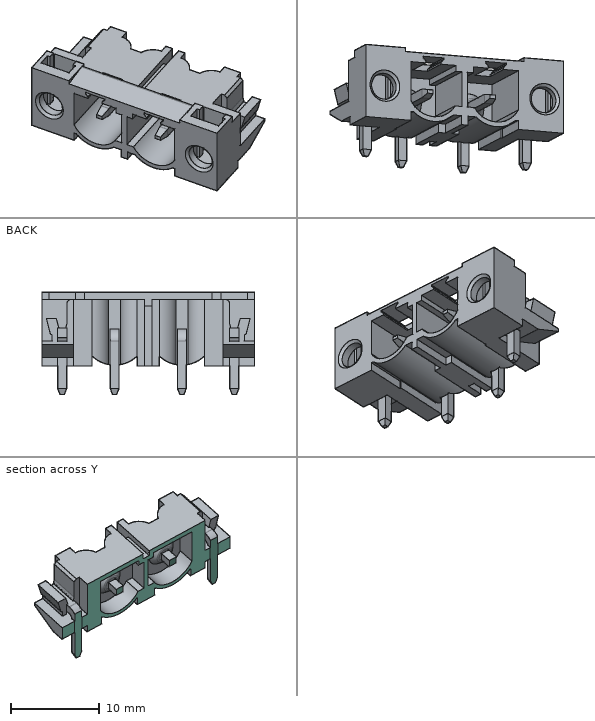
import cadquery as cq
import math


HALF_WIDTH = 12.05
DEPTH = 11.75
HEIGHT = 8.36
DECK_HEIGHT = 7.55
RAISED_DEPTH = 3.52
BLOCK_DEPTH = 5.37
BLOCK_FOOT_DEPTH = 4.87
REAR_HALF_WIDTH = 8.45

CELL_X = 3.8
AXIS_Z = 3.75
CELL_DEPTH = 8.0
CELL_INNER_X = 0.34
CELL_OUTER_X = 6.53
CELL_TOP = 6.8
CELL_RADIUS = 3.1
SHELL_RADIUS = 3.66
SHELF_Z = 2.1
KEY_X = 1.08
KEY_BOTTOM = 6.12
DOVETAIL_DEPTH = 4.1
DOVETAIL_HALF_NECK = 0.92
DOVETAIL_HALF_TOP = 1.25
DOVETAIL_NECK_TOP = 7.01
DOVETAIL_EDGE_Z = 7.37
BOSS_BASE_RADIUS = 1.7
BOSS_TIP_RADIUS = 1.0
BOSS_ROUND = 0.3
BOSS_LENGTH = 0.72

UNDERSIDE_Z = 1.04
RIB_HALF_WIDTH = 0.4
LEG_HALF_GAP = 2.55
REAR_WALL_Y = 9.4
SCALLOP_EDGE_Y = 10.75
SCALLOP_RADIUS = 1.98
SLOT_Y = 9.7

ROOF_HALF_WIDTH = 7.2
ROOF_FRONT_Z = 7.93
ROOF_SLOPE_DEPTH = 2.9
ROOF_DEPTH = 3.05

MOUNT_X = 9.74
MOUNT_RADIUS = 1.5
MOUNT_RIM_RADIUS = 1.8
POCKET_HALF_WIDTH = 1.8
POCKET_FRONT_Y = 1.28
POCKET_BACK_Y = 4.35
POCKET_DRAFT = 0.1
POCKET_FLOOR = 1.45
POCKET_RIB_WIDTH = 0.31
POCKET_RIB_FRONT_Y = 2.75

LEDGE_BOTTOM = 0.96
LEDGE_TOP = 2.82
LEDGE_TIP_Z = 2.45
LEDGE_SLOPE_Y = 7.52
RAIL_FRONT_Y = 7.33
RAIL_BACK_Y = 11.0
RAIL_TOP = 5.37
RAIL_OUTER_X = 11.52
RAIL_INNER_X = 10.4
RAIL_LIP_X = 10.1
RAIL_FLARE_X = 11.09
RAIL_FLARE_Z = 3.66
RAIL_NECK_X = 10.87
RAIL_NECK_Z = 3.5
PAD_LIP = 0.15
PAD_LIP_TOP = 4.82
PAD_CHAMFER = 0.31

PIN_BOTTOM = -3.23
PIN_TAPER_Z = -2.53
PIN_END_SIZE = 0.48
BEND_INNER_RADIUS = 0.43
CONTACT_SIZE = 1.01
CONTACT_BACK_Y = 10.44
CONTACT_TAPER_Y = 2.31
CONTACT_TIP_Y = 1.0
CONTACT_TIP_WIDTH = 0.7
CONTACT_TIP_HEIGHT = 0.43
HOLD_DOWN_SIZE = 1.05
HOLD_DOWN_END_Y = 10.9

CHANNEL_TOP = AXIS_Z + HOLD_DOWN_SIZE / 2
CHANNEL_INNER_X = MOUNT_X - HOLD_DOWN_SIZE / 2
CHANNEL_OUTER_X = MOUNT_X + HOLD_DOWN_SIZE / 2


def box(x_span, y_span, z_span):
    """Box between two values along each axis."""
    size = [span[1] - span[0] for span in (x_span, y_span, z_span)]
    return cq.Workplane("XY").box(*size, centered=False).translate((x_span[0], y_span[0], z_span[0]))


def extrude_along_x(profile, x_start, x_end):
    """Prism with a (Y, Z) polygon as its section."""
    return cq.Workplane("YZ", origin=(x_start, 0, 0)).polyline(profile).close().extrude(x_end - x_start)


def extrude_along_y(profile, y_start, y_end):
    """Prism with an (X, Z) polygon as its section."""
    return cq.Workplane("XZ", origin=(0, y_start, 0)).polyline(profile).close().extrude(y_start - y_end)


def rod_along_y(x, radius, y_start, y_end):
    """Cylinder parallel to Y at the height of the contacts."""
    return cq.Workplane("XZ", origin=(x, y_start, AXIS_Z)).circle(radius).extrude(y_start - y_end)



def outer_shape():
    """Raised front, full-width block relieved at its foot, and the narrower rear body."""
    raised_front = box((0, HALF_WIDTH), (0, RAISED_DEPTH), (0, HEIGHT))
    block = box((0, HALF_WIDTH), (0, BLOCK_DEPTH), (0, DECK_HEIGHT))
    rear = box((0, REAR_HALF_WIDTH), (0, DEPTH), (0, DECK_HEIGHT))
    foot_relief = box((REAR_HALF_WIDTH, HALF_WIDTH), (BLOCK_FOOT_DEPTH, BLOCK_DEPTH), (0, LEDGE_BOTTOM))
    return raised_front.union(block).cut(foot_relief).union(rear)


def roof_cut():
    """Slope that lowers the roof toward the mating face, and the step behind it to the deck."""
    slope = [(0, ROOF_FRONT_Z), (ROOF_SLOPE_DEPTH, HEIGHT), (0, HEIGHT)]
    step = box((0, ROOF_HALF_WIDTH), (ROOF_DEPTH, RAISED_DEPTH), (DECK_HEIGHT, HEIGHT))
    return extrude_along_x(slope, 0, ROOF_HALF_WIDTH).union(step)


def cell_cut():
    """Plug cell with a round floor, a key in its upper inner corner and a boss on its back wall."""
    shelf_end_x = CELL_X - math.sqrt(CELL_RADIUS**2 - (AXIS_Z - SHELF_Z)**2)
    outer_arc_z = AXIS_Z - math.sqrt(CELL_RADIUS**2 - (CELL_OUTER_X - CELL_X)**2)
    cell = (
        cq.Workplane("XZ")
        .moveTo(CELL_INNER_X, SHELF_Z)
        .lineTo(shelf_end_x, SHELF_Z)
        .threePointArc((CELL_X, AXIS_Z - CELL_RADIUS), (CELL_OUTER_X, outer_arc_z))
        .lineTo(CELL_OUTER_X, CELL_TOP)
        .lineTo(KEY_X, CELL_TOP)
        .lineTo(KEY_X, KEY_BOTTOM)
        .lineTo(CELL_INNER_X, KEY_BOTTOM)
        .close()
        .extrude(-CELL_DEPTH)
    )
    boss_front = CELL_DEPTH - BOSS_LENGTH
    boss = (
        cq.Workplane("XY", origin=(CELL_X, 0, AXIS_Z))
        .moveTo(0, boss_front)
        .lineTo(BOSS_TIP_RADIUS, boss_front)
        .lineTo(BOSS_BASE_RADIUS, CELL_DEPTH)
        .lineTo(0, CELL_DEPTH)
        .close()
        .revolve(360, (0, 0), (0, 1))
        .faces("<Y")
        .edges()
        .fillet(BOSS_ROUND)
    )
    return cell.cut(boss)


def dovetail_cut():
    """Dovetail groove above the cell, open through the deck behind the roof."""
    right_side = [
        (DOVETAIL_HALF_NECK, CELL_TOP),
        (DOVETAIL_HALF_NECK, DOVETAIL_NECK_TOP),
        (DOVETAIL_HALF_TOP, DOVETAIL_EDGE_Z),
        (DOVETAIL_HALF_TOP, DECK_HEIGHT),
    ]
    left_side = [(-x, z) for x, z in reversed(right_side)]
    return extrude_along_y(right_side + left_side, 0, DOVETAIL_DEPTH).translate((CELL_X, 0, 0))


def underside_cut():
    """Space under the cell, between the legs, down to its rounded shell."""
    leg_span = (CELL_X - LEG_HALF_GAP, CELL_X + LEG_HALF_GAP)
    front = box((RIB_HALF_WIDTH, CELL_OUTER_X), (0, BLOCK_FOOT_DEPTH), (0, UNDERSIDE_Z))
    rear = box(leg_span, (BLOCK_FOOT_DEPTH, DEPTH), (0, UNDERSIDE_Z))
    return front.union(rear).cut(rod_along_y(CELL_X, SHELL_RADIUS, 0, DEPTH))


def rear_recess_cut():
    """Recess around the contact between two rounded shoulders."""
    edges = (CELL_X - LEG_HALF_GAP, CELL_X + LEG_HALF_GAP)
    recess = box(edges, (REAR_WALL_Y, DEPTH), (0, DECK_HEIGHT))
    shoulders = (
        cq.Workplane("XY")
        .pushPoints([(x, SCALLOP_EDGE_Y - SCALLOP_RADIUS) for x in edges])
        .circle(SCALLOP_RADIUS)
        .extrude(DECK_HEIGHT)
    )
    return recess.cut(shoulders)


def center_slot_cut():
    """Groove in the deck that becomes an open slot at the rear."""
    groove = box((0, RIB_HALF_WIDTH), (ROOF_DEPTH, SLOT_Y), (CELL_TOP, DECK_HEIGHT))
    slot = box((0, RIB_HALF_WIDTH), (SLOT_Y, DEPTH), (0, DECK_HEIGHT))
    return groove.union(slot)


def nut_pocket_cut():
    """Pocket open at the top, with a drafted back wall and a rib on each side wall."""
    inner_x = MOUNT_X - POCKET_HALF_WIDTH
    outer_x = MOUNT_X + POCKET_HALF_WIDTH
    profile = [
        (POCKET_FRONT_Y, POCKET_FLOOR),
        (POCKET_BACK_Y - POCKET_DRAFT, POCKET_FLOOR),
        (POCKET_BACK_Y, DECK_HEIGHT),
        (POCKET_BACK_Y, HEIGHT),
        (POCKET_FRONT_Y, HEIGHT),
    ]
    pocket = extrude_along_x(profile, inner_x, outer_x)
    for rib_x in (inner_x, outer_x - POCKET_RIB_WIDTH):
        rib_span = (rib_x, rib_x + POCKET_RIB_WIDTH)
        pocket = pocket.cut(box(rib_span, (POCKET_RIB_FRONT_Y, RAISED_DEPTH), (POCKET_FLOOR, HEIGHT)))
    return pocket


def mounting_hole_cut():
    """Round hole from the mating face into the nut pocket, with a 45-degree rim."""
    rim_depth = MOUNT_RIM_RADIUS - MOUNT_RADIUS
    return (
        cq.Workplane("XY", origin=(MOUNT_X, 0, AXIS_Z))
        .polyline([
            (0, 0),
            (MOUNT_RIM_RADIUS, 0),
            (MOUNT_RADIUS, rim_depth),
            (MOUNT_RADIUS, POCKET_FRONT_Y),
            (0, POCKET_FRONT_Y),
        ])
        .close()
        .revolve(360, (0, 0), (0, 1))
    )


def ledge():
    """Ledge behind the block, with a sloping underside, that carries the rail."""
    profile = [
        (BLOCK_DEPTH, LEDGE_BOTTOM),
        (LEDGE_SLOPE_Y, LEDGE_BOTTOM),
        (RAIL_BACK_Y, LEDGE_TIP_Z),
        (RAIL_BACK_Y, LEDGE_TOP),
        (BLOCK_DEPTH, LEDGE_TOP),
    ]
    return extrude_along_x(profile, REAR_HALF_WIDTH, HALF_WIDTH)


def rail():
    """Rail on the outer side of the hold-down pin, with a lip that snaps over it."""
    profile = [
        (RAIL_NECK_X, LEDGE_TOP),
        (RAIL_NECK_X, RAIL_NECK_Z),
        (RAIL_FLARE_X, RAIL_FLARE_Z),
        (RAIL_OUTER_X, RAIL_TOP),
        (RAIL_INNER_X, RAIL_TOP),
        (RAIL_LIP_X, CHANNEL_TOP),
        (CHANNEL_OUTER_X, CHANNEL_TOP),
        (CHANNEL_OUTER_X, LEDGE_TOP),
    ]
    return extrude_along_y(profile, RAIL_FRONT_Y, RAIL_BACK_Y)


def wall_pad():
    """Thickened body wall on the inner side of the hold-down pin, with a matching lip."""
    profile = [
        (REAR_HALF_WIDTH, LEDGE_TOP),
        (CHANNEL_INNER_X, LEDGE_TOP),
        (CHANNEL_INNER_X, CHANNEL_TOP),
        (CHANNEL_INNER_X + PAD_LIP, CHANNEL_TOP),
        (CHANNEL_INNER_X, PAD_LIP_TOP),
        (CHANNEL_INNER_X, DECK_HEIGHT - PAD_CHAMFER),
        (CHANNEL_INNER_X - PAD_CHAMFER, DECK_HEIGHT),
        (REAR_HALF_WIDTH, DECK_HEIGHT),
    ]
    return extrude_along_y(profile, RAIL_FRONT_Y, RAIL_BACK_Y)


def make_housing():
    """Both mirrored halves of the housing, before the pins are let in."""
    half = outer_shape()
    cuts = (
        roof_cut, cell_cut, dovetail_cut, underside_cut, rear_recess_cut,
        center_slot_cut, nut_pocket_cut, mounting_hole_cut,
    )
    for cut in cuts:
        half = half.cut(cut())
    for addition in (ledge, rail, wall_pad):
        half = half.union(addition())
    return half.union(half.mirror("YZ"))



def bent_pin(x, size, outer_y, end_y):
    """Square L-shaped pin: a leg down to the board at outer_y and an arm along Y to end_y."""
    toward_end = math.copysign(1, end_y - outer_y)
    inner_y = outer_y + toward_end * size
    bend_y = inner_y + toward_end * BEND_INNER_RADIUS
    arm_top = AXIS_Z + size / 2
    arm_bottom = AXIS_Z - size / 2
    bend_z = arm_bottom - BEND_INNER_RADIUS
    diagonal = math.sqrt(0.5)

    def bend_middle(radius):
        return (bend_y - toward_end * radius * diagonal, bend_z + radius * diagonal)

    arm_and_leg = (
        cq.Workplane("YZ", origin=(x, 0, 0))
        .moveTo(end_y, arm_top)
        .lineTo(bend_y, arm_top)
        .threePointArc(bend_middle(BEND_INNER_RADIUS + size), (outer_y, bend_z))
        .lineTo(outer_y, PIN_TAPER_Z)
        .lineTo(inner_y, PIN_TAPER_Z)
        .lineTo(inner_y, bend_z)
        .threePointArc(bend_middle(BEND_INNER_RADIUS), (bend_y, arm_bottom))
        .lineTo(end_y, arm_bottom)
        .close()
        .extrude(size / 2, both=True)
    )
    board_tip = (
        cq.Workplane("XY", origin=(x, (outer_y + inner_y) / 2, PIN_TAPER_Z))
        .rect(size, size)
        .workplane(offset=PIN_BOTTOM - PIN_TAPER_Z)
        .rect(PIN_END_SIZE, PIN_END_SIZE)
        .loft(ruled=True)
    )
    return arm_and_leg.union(board_tip)


def make_contact_pin(x):
    """Contact pin with a tapered mating end inside its cell."""
    mating_tip = (
        cq.Workplane("XZ", origin=(x, CONTACT_TAPER_Y, AXIS_Z))
        .rect(CONTACT_SIZE, CONTACT_SIZE)
        .workplane(offset=CONTACT_TAPER_Y - CONTACT_TIP_Y)
        .rect(CONTACT_TIP_WIDTH, CONTACT_TIP_HEIGHT)
        .loft(ruled=True)
    )
    return bent_pin(x, CONTACT_SIZE, CONTACT_BACK_Y, CONTACT_TAPER_Y).union(mating_tip)


def make_hold_down_pin(x):
    """Hold-down pin standing against the back of the block, its arm lying in the rail channel."""
    return bent_pin(x, HOLD_DOWN_SIZE, BLOCK_DEPTH, HOLD_DOWN_END_Y)


contact_pins = [make_contact_pin(x) for x in (-CELL_X, CELL_X)]
hold_down_pins = [make_hold_down_pin(x) for x in (-MOUNT_X, MOUNT_X)]

housing = make_housing()
for pin in contact_pins + hold_down_pins:
    housing = housing.cut(pin)

result = cq.Compound.makeCompound(
    [housing.val(), *[pin.val() for pin in contact_pins], *[pin.val() for pin in hold_down_pins]]
)